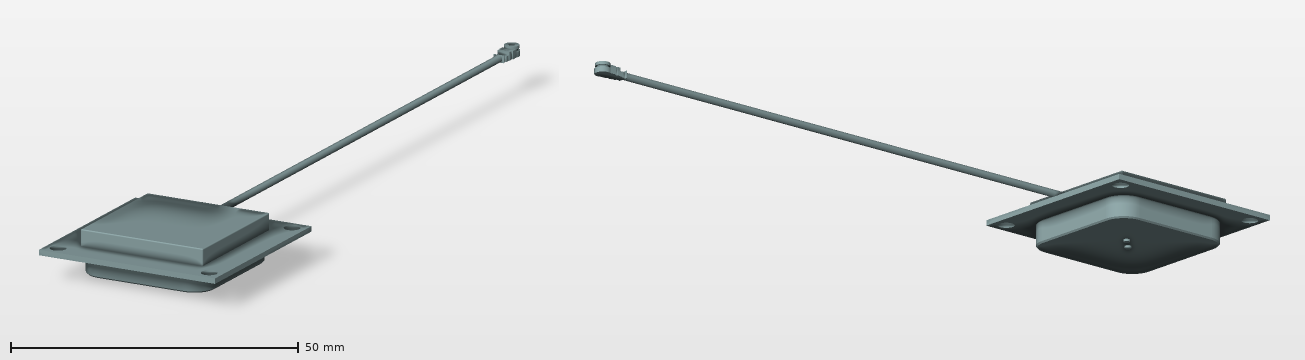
import cadquery as cq

TOTAL_LENGTH = 141.0

BOARD_SIDE = 35.0
BOARD_THICKNESS = 1.0
MOUNT_HOLE_DIAMETER = 3.0
MOUNT_HOLE_PITCH = 30.0

PATCH_SIDE = 24.3
PATCH_HEIGHT = 3.1
PATCH_EDGE_RADIUS = 0.21

CAN_SIDE = 25.1
CAN_HEIGHT = 4.2
CAN_CORNER_RADIUS = 4.1
CAN_EDGE_CHAMFER = 0.3

PIN_DIAMETER = 1.2
PIN_HEIGHT = 0.4
PIN_OFFSET = 2.5

CABLE_DIAMETER = 1.37

FLANGE_DIAMETER = 3.0
FLANGE_HEIGHT = 1.0
WAIST_DIAMETER = 2.1
WAIST_HEIGHT = 0.4
CAP_DIAMETER = 2.7
CAP_HEIGHT = 0.5
CAP_RECESS_DIAMETER = 1.2
CAP_RECESS_DEPTH = 0.3

CONNECTOR_LENGTH = 6.2
SHANK_WIDTH = 2.1
SHANK_LENGTH = 5.4
SHANK_HEIGHT = 1.0
SHOULDER_WIDTH = 2.7
SHOULDER_LENGTH = 3.4
WING_WIDTH = 2.4
WING_LENGTH = 0.7
WING_GAP = 0.4
CRIMP_HEIGHT = 1.5
NECK_WIDTH = 1.4
COLLAR_WIDTH = 2.1
COLLAR_THICKNESS = 0.1

BOARD_TOP = BOARD_THICKNESS
CABLE_RADIUS = CABLE_DIAMETER / 2
CABLE_AXIS_Z = BOARD_TOP + CABLE_RADIUS
TIP_Y = TOTAL_LENGTH - BOARD_SIDE / 2
CABLE_START_Y = PATCH_SIDE / 2
CONNECTOR_START_Y = TIP_Y - CONNECTOR_LENGTH
PLUG_Y = TIP_Y - FLANGE_DIAMETER / 2
PIN_CENTRES = [(0, 0), (-PIN_OFFSET, PIN_OFFSET)]


def make_board():
    board = cq.Workplane("XY").box(BOARD_SIDE, BOARD_SIDE, BOARD_THICKNESS, centered=(True, True, False))
    return (
        board.faces(">Z").workplane()
        .rect(MOUNT_HOLE_PITCH, MOUNT_HOLE_PITCH, forConstruction=True)
        .vertices().hole(MOUNT_HOLE_DIAMETER)
    )


def make_patch():
    patch = (
        cq.Workplane("XY").workplane(offset=BOARD_TOP)
        .rect(PATCH_SIDE, PATCH_SIDE).extrude(PATCH_HEIGHT)
    )
    return patch.edges("|Z or >Z").fillet(PATCH_EDGE_RADIUS)


def make_can():
    can = cq.Workplane("XY").rect(CAN_SIDE, CAN_SIDE).extrude(-CAN_HEIGHT)
    can = can.edges("|Z").fillet(CAN_CORNER_RADIUS)
    return can.faces("<Z or >Z").chamfer(CAN_EDGE_CHAMFER)


def make_pin(centre):
    return (
        cq.Workplane("XY", origin=(*centre, -CAN_HEIGHT))
        .circle(PIN_DIAMETER / 2).extrude(-PIN_HEIGHT)
    )


def make_cable():
    return (
        cq.Workplane("XZ", origin=(0, CABLE_START_Y, CABLE_AXIS_Z))
        .circle(CABLE_RADIUS).extrude(CABLE_START_Y - CONNECTOR_START_Y)
    )


def plug_disc(diameter, base_z, height):
    return cq.Workplane("XY", origin=(0, PLUG_Y, base_z)).circle(diameter / 2).extrude(height)


def make_plug():
    waist_z = BOARD_TOP + FLANGE_HEIGHT
    cap_z = waist_z + WAIST_HEIGHT
    flange = plug_disc(FLANGE_DIAMETER, BOARD_TOP, FLANGE_HEIGHT)
    waist = plug_disc(WAIST_DIAMETER, waist_z, WAIST_HEIGHT)
    cap = plug_disc(CAP_DIAMETER, cap_z, CAP_HEIGHT)
    cap = cap.faces(">Z").workplane().hole(CAP_RECESS_DIAMETER, CAP_RECESS_DEPTH)
    return flange.union(waist).union(cap)


def connector_block(width, height, front_y, length):
    """Block resting at board-top level that runs back from front_y towards the board."""
    return cq.Workplane("XY", origin=(0, front_y - length / 2, BOARD_TOP)).rect(width, length).extrude(height)


def make_connector():
    plug_to_shoulder = SHOULDER_LENGTH - FLANGE_DIAMETER / 2
    plug_to_shank = SHANK_LENGTH - FLANGE_DIAMETER / 2
    shoulder = connector_block(SHOULDER_WIDTH, CRIMP_HEIGHT, PLUG_Y, plug_to_shoulder)
    clearance = plug_disc(FLANGE_DIAMETER, BOARD_TOP + FLANGE_HEIGHT, CRIMP_HEIGHT)
    shank = connector_block(SHANK_WIDTH, SHANK_HEIGHT, PLUG_Y, plug_to_shank)
    wings = connector_block(WING_WIDTH, CRIMP_HEIGHT, TIP_Y - SHOULDER_LENGTH - WING_GAP, WING_LENGTH)
    neck = connector_block(NECK_WIDTH, SHANK_HEIGHT, TIP_Y - SHANK_LENGTH, CONNECTOR_LENGTH - SHANK_LENGTH)
    collar_front_y = CONNECTOR_START_Y + COLLAR_THICKNESS
    collar = connector_block(COLLAR_WIDTH, CABLE_DIAMETER, collar_front_y, COLLAR_THICKNESS)
    base = shoulder.cut(clearance).union(shank).union(wings)
    return base.union(make_plug()).union(neck).union(collar)


board = make_board()
patch = make_patch()
can = make_can()
cable = make_cable()
connector = make_connector()
pins = [make_pin(centre) for centre in PIN_CENTRES]
result = cq.Compound.makeCompound(
    [board.val(), patch.val(), can.val(), cable.val(), connector.val(), *[pin.val() for pin in pins]]
)